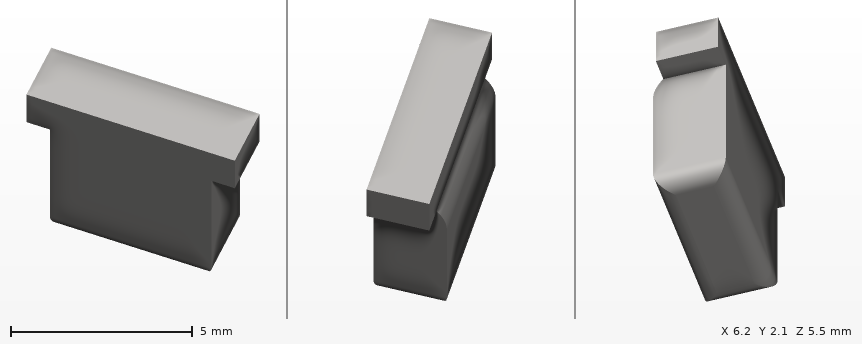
import cadquery as cq
import math

head_width = 6.2
head_depth = 1.8
head_height = 1.2

total_height = 5.5
body_width = 4.8
body_depth = 2.1
bottom_radius = 0.5
shoulder_radius = 1.0

body_height = total_height - head_height
shoulder_step = body_depth - head_depth


def make_head():
    """Plain bar, front face on Y = 0 and underside on top of the body."""
    return cq.Workplane("XY").workplane(offset=body_height).rect(head_width, head_depth).extrude(
        head_height
    ).translate((0, head_depth / 2, 0))


def make_body():
    """Block with a rounded rear shoulder under the head and a rounded bottom rim."""
    arc_drop = math.sqrt(shoulder_radius**2 - (shoulder_radius - shoulder_step) ** 2)
    shoulder_bottom = body_height - arc_drop
    profile = (
        cq.Workplane("YZ")
        .moveTo(0, 0)
        .lineTo(body_depth, 0)
        .lineTo(body_depth, shoulder_bottom)
        .radiusArc((head_depth, body_height), -shoulder_radius)
        .lineTo(0, body_height)
        .close()
    )
    block = profile.extrude(body_width / 2, both=True)
    return block.faces("<Z").edges().fillet(bottom_radius)


result = make_head().union(make_body())